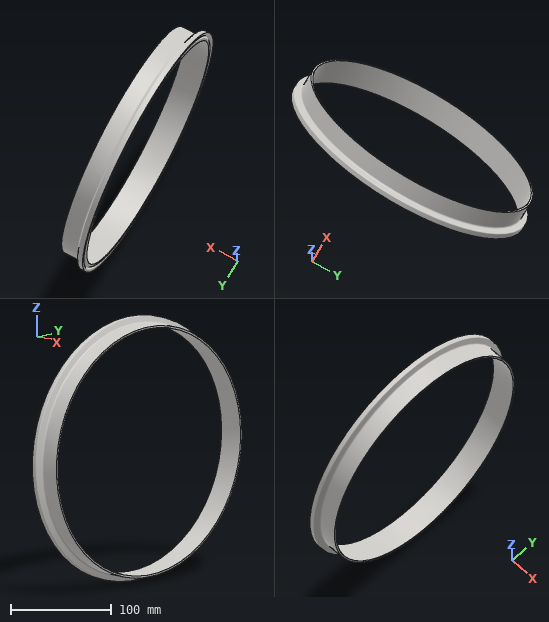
import cadquery as cq
import math

length = 28.0
flange_radius = 134.0
tube_outer_radius = 127.0
bore_radius = 125.0

rim_straight = 5.0
rim_round = 1.0
neck_fillet = 2.0
cone_angle = math.radians(20)

groove_radius = 129.3
groove_half_width = 2.0
groove_bottom_round = 1.3
groove_lip_round = 0.8


def arc_point(center, radius, angle):
    """Point (axial, radial) on a circle, angle measured from the axial direction."""
    return (
        center[0] + radius * math.cos(angle),
        center[1] + radius * math.sin(angle),
    )


def make_ring():
    rim_center = (rim_straight, flange_radius - rim_round)
    rim_end = arc_point(rim_center, rim_round, cone_angle)
    rim_mid = arc_point(rim_center, rim_round, (cone_angle + math.pi / 2) / 2)

    fillet_center_radius = tube_outer_radius + neck_fillet
    cone_end_radius = fillet_center_radius - neck_fillet * math.sin(cone_angle)
    cone_end_x = rim_end[0] + (rim_end[1] - cone_end_radius) * math.tan(cone_angle)
    neck_x = cone_end_x + neck_fillet * math.cos(cone_angle)
    fillet_center = (neck_x, fillet_center_radius)
    fillet_mid_angle = math.pi + (cone_angle + math.pi / 2) / 2

    profile = (
        cq.Workplane("XY")
        .moveTo(0, bore_radius)
        .lineTo(0, flange_radius)
        .lineTo(rim_straight, flange_radius)
        .threePointArc(rim_mid, rim_end)
        .lineTo(cone_end_x, cone_end_radius)
        .threePointArc(
            arc_point(fillet_center, neck_fillet, fillet_mid_angle),
            (neck_x, tube_outer_radius),
        )
        .lineTo(length, tube_outer_radius)
        .lineTo(length, bore_radius)
        .close()
    )
    return profile.revolve(360, (0, 0, 0), (1, 0, 0))


def make_groove():
    round_sum = groove_bottom_round + groove_lip_round
    slope = math.asin(groove_half_width / round_sum)
    depth = round_sum * (1 - math.cos(slope))
    bottom_center = (depth - groove_bottom_round, groove_radius)
    inner_lip_center = (groove_lip_round, groove_radius - groove_half_width)
    outer_lip_center = (groove_lip_round, groove_radius + groove_half_width)

    profile = (
        cq.Workplane("XY")
        .moveTo(0, inner_lip_center[1])
        .threePointArc(
            arc_point(inner_lip_center, groove_lip_round, math.pi - slope / 2),
            arc_point(bottom_center, groove_bottom_round, -slope),
        )
        .threePointArc(
            (depth, groove_radius),
            arc_point(bottom_center, groove_bottom_round, slope),
        )
        .threePointArc(
            arc_point(outer_lip_center, groove_lip_round, math.pi + slope / 2),
            (0, outer_lip_center[1]),
        )
        .close()
    )
    return profile.revolve(360, (0, 0, 0), (1, 0, 0))


result = make_ring().cut(make_groove())